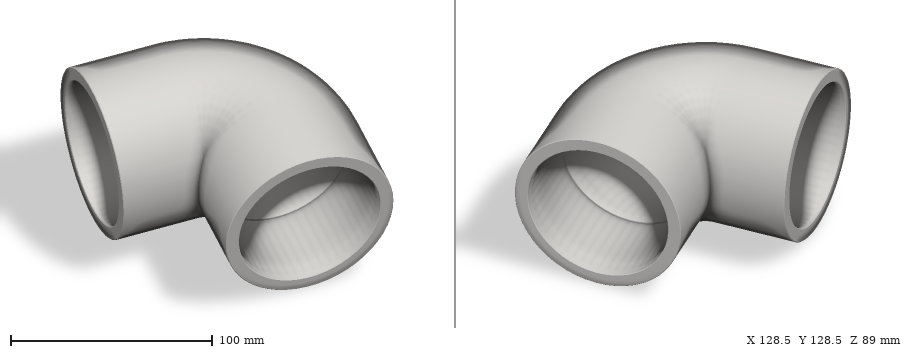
import cadquery as cq

overall_length = 128.5
outer_diameter = 89.0
socket_diameter = 75.0
passage_diameter = 73.0
socket_length = 44.2
outer_edge_chamfer = 0.4
mouth_chamfer = 0.4

outer_radius = outer_diameter / 2
port_reach = overall_length - outer_radius
bend_radius = port_reach - socket_length


def quarter_bend(diameter):
    """Quarter turn of a round section, cut off where the section would cross the bend axis."""
    radius = diameter / 2
    section = cq.Sketch().circle(radius)
    if radius > bend_radius:
        overlap = radius - bend_radius
        section = section.push([(bend_radius + overlap / 2, 0)]).rect(overlap, diameter, mode="s")
    return (
        cq.Workplane("XZ", origin=(0, -bend_radius, 0))
        .placeSketch(section)
        .revolve(90, (bend_radius, 1.3, 0), (bend_radius, 0, 0))
    )


def port_cylinder(diameter):
    """Cylinder along +X from the end of the bend to the port face."""
    return cq.Workplane("YZ", origin=(bend_radius, 0, 0)).circle(diameter / 2).extrude(socket_length)


def at_both_ports(port):
    """Join a shape on the +X port with its mirror image on the -Y port."""
    turned = port.rotate((0, 0, 0), (0, 0, 1), -90)
    return port.union(turned)


sleeve = port_cylinder(outer_diameter).faces(">X").chamfer(outer_edge_chamfer)
body = quarter_bend(outer_diameter).union(at_both_ports(sleeve))

passage = quarter_bend(passage_diameter)

mouth = (
    cq.Workplane("YZ", origin=(port_reach, 0, 0))
    .circle(socket_diameter / 2 + mouth_chamfer)
    .workplane(offset=-mouth_chamfer)
    .circle(socket_diameter / 2)
    .loft()
)
socket = port_cylinder(socket_diameter).union(mouth)

result = body.cut(passage).cut(at_both_ports(socket))